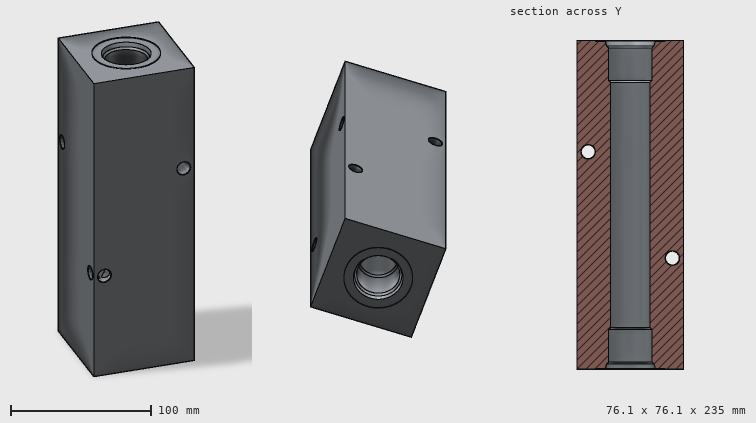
import cadquery as cq
import math

length = 235.0
width = 76.1

bore_diameter = 28.0
spotface_diameter = 49.0
spotface_depth = 0.59
seal_cone_diameter = 35.5
seal_cone_depth = 3.3
seal_cone_half_angle = 15
seal_cone_taper = seal_cone_depth * math.tan(math.radians(seal_cone_half_angle))
seal_cone_end_diameter = seal_cone_diameter - 2 * seal_cone_taper
thread_diameter = 30.8
thread_depth = 28.0
thread_chamfer = (seal_cone_end_diameter - thread_diameter) / 2
thread_runout_depth = (thread_diameter - bore_diameter) / 2

hole_diameter = 9.9
hole_mouth_diameter = 10.5
hole_edge_distance = 8.0
hole_spacing = 76.0
hole_offset = width / 2 - hole_edge_distance
hole_mouth_depth = (hole_mouth_diameter - hole_diameter) / 2


def port_cutter():
    """Revolved port cavity opening upward at the top face of the block."""
    spotface_floor = length / 2 - spotface_depth
    cone_end = spotface_floor - seal_cone_depth
    thread_end = spotface_floor - thread_depth
    profile = (
        cq.Workplane("XZ")
        .moveTo(0, length / 2)
        .lineTo(spotface_diameter / 2, length / 2)
        .lineTo(spotface_diameter / 2, spotface_floor)
        .lineTo(seal_cone_diameter / 2, spotface_floor)
        .lineTo(seal_cone_end_diameter / 2, cone_end)
        .lineTo(thread_diameter / 2, cone_end - thread_chamfer)
        .lineTo(thread_diameter / 2, thread_end)
        .lineTo(bore_diameter / 2, thread_end - thread_runout_depth)
        .lineTo(0, thread_end - thread_runout_depth)
        .close()
    )
    return profile.revolve(360, (0, 0, 0), (0, 1, 0))


def mounting_hole_cutter(x, z):
    """Hole along Y through the block at (x, z), countersunk at both ends."""
    half_width = width / 2
    profile = (
        cq.Workplane("XY")
        .moveTo(0, -half_width)
        .lineTo(hole_mouth_diameter / 2, -half_width)
        .lineTo(hole_diameter / 2, -half_width + hole_mouth_depth)
        .lineTo(hole_diameter / 2, half_width - hole_mouth_depth)
        .lineTo(hole_mouth_diameter / 2, half_width)
        .lineTo(0, half_width)
        .close()
    )
    return profile.revolve(360, (0, 0, 0), (0, 1, 0)).translate((x, 0, z))


block = cq.Workplane("XY").box(width, width, length)
bore = cq.Workplane("XY").circle(bore_diameter / 2).extrude(length / 2, both=True)
result = block.cut(bore)

port = port_cutter()
result = result.cut(port).cut(port.mirror("XY"))

for side in (-1, 1):
    hole = mounting_hole_cutter(side * hole_offset, -side * hole_spacing / 2)
    turned_hole = hole.rotate((0, 0, 0), (0, 0, 1), -90)
    result = result.cut(hole).cut(turned_hole)